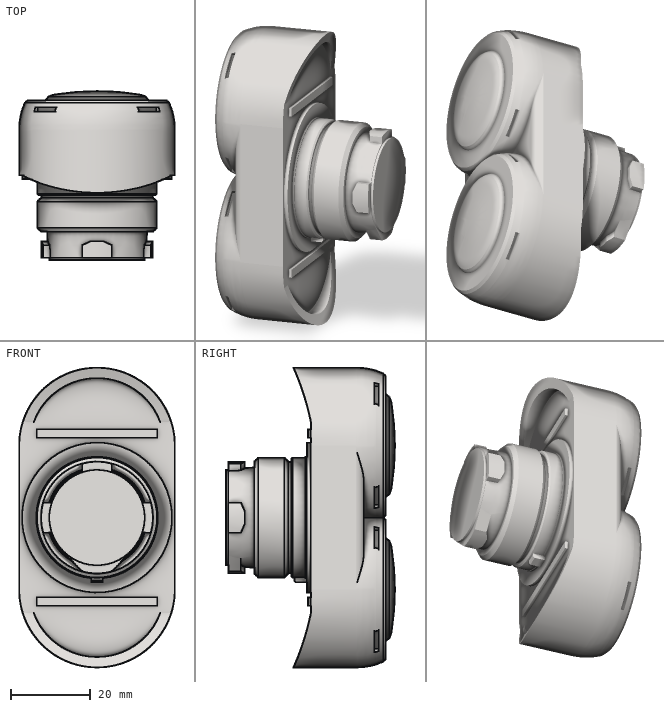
import cadquery as cq
import math

body_length = 75.0
head_radius = 19.5
head_offset = body_length / 2 - head_radius

head_side_top = 11.25
shoulder_y = 16.3
shoulder_radius = 18.75
rim_edge_y = 18.1
rim_edge_radius = 18.1
rim_y = 18.75
rim_radius = 17.4

cap_radius = 12.9
cap_edge_y = 19.65
cap_edge_radius = 12.15
cap_curve_y = 20.1
cap_curve_radius = 11.0
dome_y = 20.3
dome_rim_radius = 9.75
cap_top_y = 21.1

bridge_top_y = 13.3
bridge_edge_radius = 2.5

notch_length = 7.35
notch_floor = 17.25
notch_low_y = 15.8
notch_high_y = 16.95

skirt_inner_radius = 16.9
skirt_start_z = 23.85
skirt_mid_z = 29.55
skirt_mid_y = -1.4
skirt_end_y = -4.35

flange_radius = 18.75
flange_y = -1.0
bar_length = 30.15
bar_width = 2.1
bar_height = 0.75
bar_z = 21.0

barrel_radius = 15.0
foot_radius = 15.2
foot_end_y = -1.4
collar_end_y = -4.95
collar_chamfer = 0.4
groove_radius = 13.95
nut_start_y = -5.6
nut_end_y = -14.1
nut_chamfer = 1.0
tail_start_radius = 12.5
tail_taper_y = -14.5
tail_end_radius = 12.2
end_disc_radius = 11.9
tail_end_y = -21.2

key_width = 3.0
key_bottom_z = -16.2
key_end_y = -4.1
key_chamfer = 0.4

lug_radius = groove_radius
lug_half_width = 3.75
lug_crown_half_width = 1.6
lug_crown_y = -16.5
lug_corner_y = -17.5
lug_end_y = -20.6


def at_both_ends(shape):
    """Return the shape together with its mirror image across Z = 0."""
    return shape.union(shape.mirror("XY"))


def slab(width_x, width_z, z_centre, y_low, y_high):
    """Rectangular block centred on X = 0 that spans y_low to y_high."""
    return (
        cq.Workplane("XY")
        .box(width_x, y_high - y_low, width_z)
        .translate((0, (y_low + y_high) / 2, z_centre))
    )


def make_core():
    """Straight block between the head axes, with rounded long top edges."""
    drop = bridge_top_y - head_side_top
    arc_reach = math.sqrt(bridge_edge_radius**2 - (bridge_edge_radius - drop) ** 2)
    flat_half = head_radius - arc_reach
    return (
        cq.Workplane("XY")
        .moveTo(-head_radius, 0)
        .lineTo(head_radius, 0)
        .lineTo(head_radius, head_side_top)
        .radiusArc((flat_half, bridge_top_y), -bridge_edge_radius)
        .lineTo(-flat_half, bridge_top_y)
        .radiusArc((-head_radius, head_side_top), -bridge_edge_radius)
        .close()
        .extrude(head_offset, both=True)
    )


def make_head():
    """Upper head: a turned body that narrows to a rim, topped by a domed cap."""
    narrowing = head_radius - shoulder_radius
    rise = shoulder_y - head_side_top
    side_radius = (rise**2 + narrowing**2) / (2 * narrowing)
    body = (
        cq.Workplane("XY")
        .moveTo(0, skirt_end_y)
        .lineTo(head_radius, skirt_end_y)
        .lineTo(head_radius, head_side_top)
        .radiusArc((shoulder_radius, shoulder_y), -side_radius)
        .lineTo(rim_edge_radius, rim_edge_y)
        .lineTo(rim_radius, rim_y)
        .lineTo(0, rim_y)
        .close()
        .revolve(360, (0, 0), (0, 1))
    )
    dome_height = cap_top_y - dome_y
    dome_sphere_radius = (dome_rim_radius**2 + dome_height**2) / (2 * dome_height)
    cap = (
        cq.Workplane("XY")
        .moveTo(0, head_side_top)
        .lineTo(cap_radius, head_side_top)
        .lineTo(cap_radius, rim_y)
        .lineTo(cap_edge_radius, cap_edge_y)
        .threePointArc((cap_curve_radius, cap_curve_y), (dome_rim_radius, dome_y))
        .radiusArc((0, cap_top_y), -dome_sphere_radius)
        .close()
        .revolve(360, (0, 0), (0, 1))
    )
    notch = (
        cq.Workplane("XY")
        .box(head_radius - notch_floor, notch_high_y - notch_low_y, notch_length)
        .translate(((head_radius + notch_floor) / 2, (notch_low_y + notch_high_y) / 2, 0))
    )
    for angle in (45, 135, 225, 315):
        body = body.cut(notch.rotate((0, 0, 0), (0, 1, 0), angle))
    return body.union(cap).translate((0, 0, head_offset))


def make_skirt_cutter():
    """Material to remove below the mounting face so a curved skirt remains."""
    beyond_y = 2 * skirt_end_y
    outside = (
        cq.Workplane("YZ")
        .moveTo(0, -body_length)
        .lineTo(0, skirt_start_z)
        .threePointArc((skirt_mid_y, skirt_mid_z), (skirt_end_y, body_length / 2))
        .lineTo(beyond_y, body_length / 2)
        .lineTo(beyond_y, -body_length)
        .close()
        .extrude(body_length, both=True)
    )
    inside = (
        cq.Workplane("XZ")
        .center(0, head_offset)
        .circle(skirt_inner_radius)
        .extrude(-beyond_y)
    )
    return outside.union(inside)


def make_mounting_face():
    """Round sealing flange and one raised bar on either side of it."""
    flange = cq.Workplane("XZ").circle(flange_radius).extrude(-flange_y)
    bar = slab(bar_length, bar_width, bar_z, -bar_height, 0)
    return flange.union(at_both_ends(bar))


def make_barrel():
    """Turned barrel: foot, collar, groove, chamfered nut, tapered tail and end disc."""
    nut_end_radius = barrel_radius - nut_chamfer
    return (
        cq.Workplane("XY")
        .moveTo(0, 0)
        .lineTo(foot_radius, 0)
        .lineTo(foot_radius, foot_end_y)
        .lineTo(barrel_radius, foot_end_y)
        .lineTo(barrel_radius, collar_end_y + collar_chamfer)
        .lineTo(barrel_radius - collar_chamfer, collar_end_y)
        .lineTo(groove_radius, collar_end_y)
        .lineTo(groove_radius, nut_start_y)
        .lineTo(nut_end_radius, nut_start_y)
        .lineTo(barrel_radius, nut_start_y - nut_chamfer)
        .lineTo(barrel_radius, nut_end_y + nut_chamfer)
        .lineTo(nut_end_radius, nut_end_y)
        .lineTo(tail_start_radius, nut_end_y)
        .lineTo(tail_start_radius, tail_taper_y)
        .lineTo(tail_end_radius, lug_end_y)
        .lineTo(end_disc_radius, lug_end_y)
        .lineTo(end_disc_radius, tail_end_y)
        .lineTo(0, tail_end_y)
        .close()
        .revolve(360, (0, 0), (0, 1))
    )


def make_key():
    """Small locating key with a chamfered tip, on the -Z side of the collar."""
    height = -key_bottom_z
    key = slab(key_width, height, -height / 2, key_end_y, 0)
    return key.faces("<Y").edges("<Z").chamfer(key_chamfer)


def make_lugs():
    """Three straight bayonet lugs and, on the -Z side, one with flared flanks."""
    envelope = (
        cq.Workplane("XZ", origin=(0, lug_crown_y, 0))
        .circle(lug_radius)
        .extrude(lug_crown_y - lug_end_y)
    )
    straight = (
        cq.Workplane("XY")
        .moveTo(-lug_half_width, lug_end_y)
        .lineTo(-lug_half_width, lug_corner_y)
        .lineTo(-lug_crown_half_width, lug_crown_y)
        .lineTo(lug_crown_half_width, lug_crown_y)
        .lineTo(lug_half_width, lug_corner_y)
        .lineTo(lug_half_width, lug_end_y)
        .close()
        .extrude(lug_radius)
    )
    corner_z = math.sqrt(lug_radius**2 - lug_half_width**2)
    flank_foot = (corner_z + lug_half_width) / 2
    flared = (
        cq.Workplane("XZ", origin=(0, lug_corner_y, 0))
        .moveTo(0, 0)
        .lineTo(flank_foot, -flank_foot)
        .lineTo(lug_half_width, -corner_z)
        .lineTo(lug_half_width, -lug_radius)
        .lineTo(-lug_half_width, -lug_radius)
        .lineTo(-lug_half_width, -corner_z)
        .lineTo(-flank_foot, -flank_foot)
        .close()
        .extrude(lug_corner_y - lug_end_y)
    )
    lugs = flared
    for angle in (0, 90, 180, 270):
        lugs = lugs.union(straight.rotate((0, 0, 0), (0, 1, 0), angle))
    return lugs.intersect(envelope)


upper_head = make_head().cut(make_skirt_cutter())
result = (
    make_core()
    .union(at_both_ends(upper_head))
    .union(make_mounting_face())
    .union(make_barrel())
    .union(make_key())
    .union(make_lugs())
)